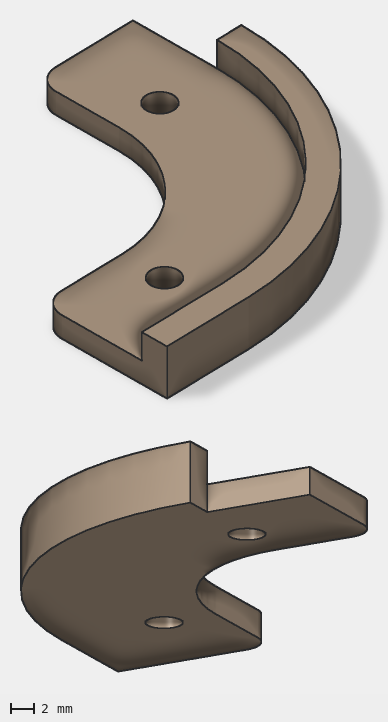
import cadquery as cq
import math

outer_radius = 28.0
rim_inner_radius = 25.0
inner_radius = 13.0
leg_length = 10.0
plate_thickness = 2.5
total_height = 5.5
corner_radius = 2.5
hole_diameter = 3.2
hole_pitch_radius = 18.0

DIAGONAL = math.sqrt(0.5)


def bend_midpoint(radius):
    """Point halfway along a quarter arc in the +X +Y quadrant."""
    return (radius * DIAGONAL, radius * DIAGONAL)


def make_plate():
    """Flat quarter-bend band with a straight leg at each end."""
    plate = (
        cq.Workplane("XY")
        .moveTo(-leg_length, rim_inner_radius)
        .lineTo(0, rim_inner_radius)
        .threePointArc(bend_midpoint(rim_inner_radius), (rim_inner_radius, 0))
        .lineTo(rim_inner_radius, -leg_length)
        .lineTo(inner_radius, -leg_length)
        .lineTo(inner_radius, 0)
        .threePointArc(bend_midpoint(inner_radius), (0, inner_radius))
        .lineTo(-leg_length, inner_radius)
        .close()
        .extrude(plate_thickness)
    )
    inner_corners = [(-leg_length, inner_radius), (inner_radius, -leg_length)]
    for x, y in inner_corners:
        nearest_edge = cq.selectors.NearestToPointSelector((x, y, plate_thickness / 2))
        plate = plate.edges("|Z").edges(nearest_edge).fillet(corner_radius)
    return plate


def make_rim():
    """Full-height rim along the bend and the -Y leg; the -X leg has none."""
    return (
        cq.Workplane("XY")
        .moveTo(0, outer_radius)
        .threePointArc(bend_midpoint(outer_radius), (outer_radius, 0))
        .lineTo(outer_radius, -leg_length)
        .lineTo(rim_inner_radius, -leg_length)
        .lineTo(rim_inner_radius, 0)
        .threePointArc(bend_midpoint(rim_inner_radius), (0, rim_inner_radius))
        .close()
        .extrude(total_height)
    )


def make_holes():
    """Through holes at the two ends of the bend."""
    return (
        cq.Workplane("XY")
        .pushPoints([(0, hole_pitch_radius), (hole_pitch_radius, 0)])
        .circle(hole_diameter / 2)
        .extrude(plate_thickness)
    )


result = make_plate().union(make_rim()).cut(make_holes())